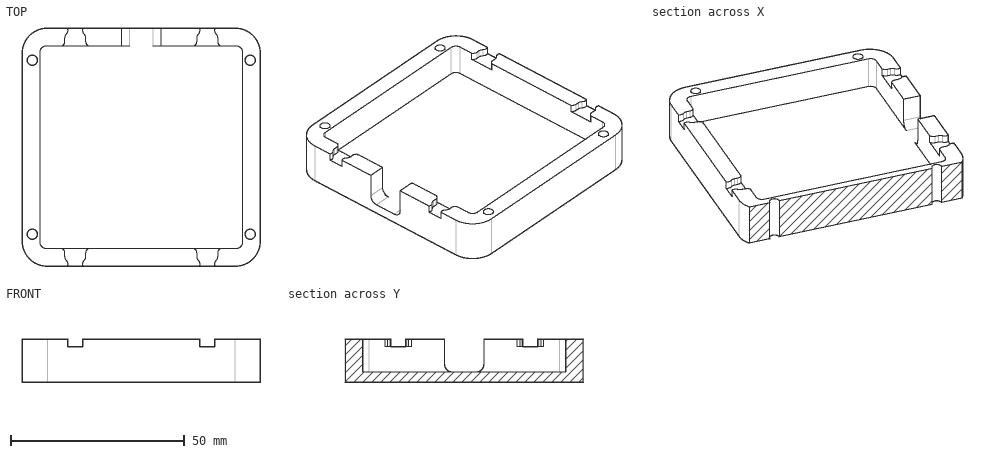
import cadquery as cq
import math

side = 68.5
height = 12.5
corner_radius = 7.25
wall = 5.15
floor_thickness = 3.0
cavity_corner_radius = 1.8

hole_diameter = 2.9
hole_x = 31.3
hole_y = 25.0

slot_width = 11.2
slot_fillet_radius = 2.2

notch_x = 19.0
notch_depth = 2.2
notch_throat_half = 2.1
notch_waist_half = 3.0
notch_inner_half = 3.85
notch_waist_distance = 2.8
throat_radius = 1.5
bulge_radius = 1.5
flare_radius = 1.5

half_side = side / 2
cavity_half = half_side - wall


def rounded_block(size, block_height, radius):
    """Square block standing on Z = 0 with rounded vertical edges."""
    block = cq.Workplane("XY").box(size, size, block_height, centered=(True, True, False))
    return block.edges("|Z").fillet(radius)


def screw_holes():
    """Four through holes, two in each side wall."""
    return (
        cq.Workplane("XY")
        .rect(2 * hole_x, 2 * hole_y, forConstruction=True)
        .vertices()
        .circle(hole_diameter / 2)
        .extrude(height)
    )


def cable_slot():
    """Slot level with the cavity floor, rounded along its two lower edges."""
    slot = cq.Workplane("XY").box(slot_width, wall, height, centered=(True, False, False))
    slot = slot.edges("|Y and <Z").fillet(slot_fillet_radius)
    return slot.translate((0, cavity_half, floor_thickness))


def arc_rise(radius, sagitta):
    """Length along the tangent in which an arc departs from it by the sagitta."""
    return math.sqrt(radius**2 - (radius - sagitta) ** 2)


def notch(x):
    """Notch through the -Y wall: a narrow throat, a bulge and a flare at the cavity."""
    outer_y = -half_side
    inner_y = -cavity_half
    waist_y = outer_y + notch_waist_distance
    flare_y = inner_y - arc_rise(flare_radius, notch_inner_half - notch_waist_half)

    bulge_center_x = notch_waist_half - bulge_radius
    throat_center_x = notch_throat_half + throat_radius
    center_distance = throat_radius + bulge_radius
    center_step = throat_center_x - bulge_center_x
    center_rise = math.sqrt(center_distance**2 - center_step**2)
    throat_center_y = waist_y - center_rise
    touch_x = bulge_center_x + center_step * bulge_radius / center_distance
    touch_y = waist_y - center_rise * bulge_radius / center_distance
    mouth_half = throat_center_x - math.sqrt(throat_radius**2 - (outer_y - throat_center_y) ** 2)

    return (
        cq.Workplane("XY")
        .workplane(offset=height - notch_depth)
        .moveTo(x - mouth_half, outer_y)
        .lineTo(x + mouth_half, outer_y)
        .radiusArc((x + touch_x, touch_y), throat_radius)
        .radiusArc((x + notch_waist_half, waist_y), -bulge_radius)
        .lineTo(x + notch_waist_half, flare_y)
        .radiusArc((x + notch_inner_half, inner_y), flare_radius)
        .lineTo(x - notch_inner_half, inner_y)
        .radiusArc((x - notch_waist_half, flare_y), flare_radius)
        .lineTo(x - notch_waist_half, waist_y)
        .radiusArc((x - touch_x, touch_y), -bulge_radius)
        .radiusArc((x - mouth_half, outer_y), throat_radius)
        .close()
        .extrude(notch_depth)
    )


body = rounded_block(side, height, corner_radius)
cavity = rounded_block(2 * cavity_half, height, cavity_corner_radius)
body = body.cut(cavity.translate((0, 0, floor_thickness)))
body = body.cut(screw_holes())
body = body.cut(cable_slot())

for x in (-notch_x, notch_x):
    front_notch = notch(x)
    body = body.cut(front_notch)
    body = body.cut(front_notch.mirror("XZ"))

result = body